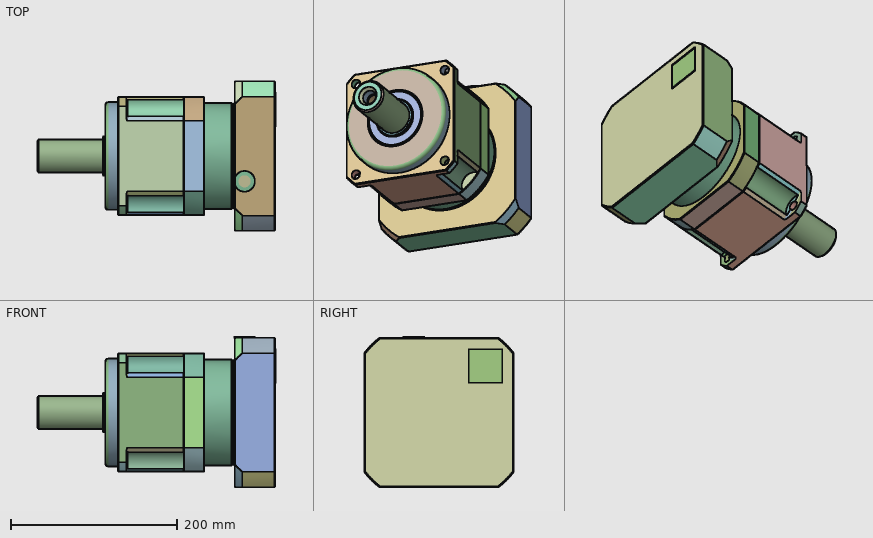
import cadquery as cq
import math


collar_front = 79.0
pilot_front = 81.8
plate_front = 97.0
plate_back = 107.3
ring_end = 176.2
housing_end = 201.0
flange_front = 237.3
flange_back = 286.0
overall_length = 287.0

shaft_diameter = 40.0
shaft_chamfer = 2.0
collar_diameter = 48.0
collar_chamfer = 1.1
countersink_diameter = 23.2
countersink_depth = 5.0
counterbore_diameter = 17.0
counterbore_end = 17.2
thread_diameter = 13.8
thread_end = 36.0
drill_tip_angle = 118

pilot_diameter = 130.0
pilot_fillet = 4.0
seal_diameter = 70.0
seal_groove = 1.1

housing_side = 142.0
plate_corner_diameter = 186.0
body_corner_diameter = 165.5
relief_fillet = 1.7
plate_chamfer = 1.1
seam_chamfer = 0.5
housing_end_chamfer = 1.0

bolt_circle_diameter = 165.0
bolt_hole_diameter = 11.0
channel_diameter = 29.8
channel_circle_diameter = 172.8

neck_diameter = 128.0
neck_groove_depth = 1.0
neck_groove_width = 3.7

flange_side = 180.0
flange_corner_diameter = 230.0
flange_front_corner_diameter = 218.7
flange_corner_cone = 9.5
flange_chamfer = 1.1

pad_side = 40.8
pad_offset = 56.0

plug_diameter = 25.0
plug_top_diameter = 14.5
plug_height = 1.1
plug_rim_height = 1.0
plug_x = 249.5
plug_y = -30.5


def turned(points):
    """Solid of revolution about X from an (x, radius) polyline that starts and ends on the axis."""
    return cq.Workplane("XY").polyline(points).close().revolve(360, (0, 0, 0), (1, 0, 0))


def square_bar(start, end, side, front_chamfer, back_chamfer):
    """Square bar along X with its end edges chamfered."""
    bar = cq.Workplane("YZ", origin=(start, 0, 0)).rect(side, side).extrude(end - start)
    return bar.faces("<X").chamfer(front_chamfer).faces(">X").chamfer(back_chamfer)


def rod(start, end, diameter, y=0.0, z=0.0):
    """Cylinder along X."""
    return cq.Workplane("YZ", origin=(start, y, z)).circle(diameter / 2).extrude(end - start)


def corner_points(circle_diameter):
    """The four (y, z) points of a circle that lie on the diagonals of the square housing."""
    offset = circle_diameter / 2 / math.sqrt(2)
    return [(y_sign * offset, z_sign * offset) for y_sign in (-1, 1) for z_sign in (-1, 1)]


def make_shaft():
    """Shaft end and collar, with the stepped centre hole cut in."""
    shaft_radius = shaft_diameter / 2
    collar_radius = collar_diameter / 2
    thread_radius = thread_diameter / 2
    counterbore_radius = counterbore_diameter / 2
    drill_tip = thread_radius / math.tan(math.radians(drill_tip_angle / 2))
    shaft = turned([
        (0, 0),
        (0, shaft_radius - shaft_chamfer),
        (shaft_chamfer, shaft_radius),
        (collar_front, shaft_radius),
        (collar_front, collar_radius - collar_chamfer),
        (collar_front + collar_chamfer, collar_radius),
        (plate_front, collar_radius),
        (plate_front, 0),
    ])
    centre_hole = turned([
        (0, 0),
        (0, countersink_diameter / 2),
        (countersink_depth, counterbore_radius),
        (counterbore_end, counterbore_radius),
        (counterbore_end, thread_radius),
        (thread_end, thread_radius),
        (thread_end + drill_tip, 0),
    ])
    return shaft.cut(centre_hole)


def make_pilot():
    """Round pilot with a filleted rim and a V groove around the seal face."""
    pilot = rod(pilot_front, plate_front, pilot_diameter).faces("<X").edges().fillet(pilot_fillet)
    seal_radius = seal_diameter / 2
    groove = (
        cq.Workplane("XY")
        .polyline([
            (pilot_front, seal_radius - seal_groove),
            (pilot_front, seal_radius + seal_groove),
            (pilot_front + seal_groove, seal_radius),
        ])
        .close()
        .revolve(360, (0, 0, 0), (1, 0, 0))
    )
    return pilot.cut(groove)


def make_front_housing():
    """Square bar whose corners are turned down behind the mounting plate."""
    plate_radius = plate_corner_diameter / 2
    body_radius = body_corner_diameter / 2
    corner_envelope = (
        cq.Workplane("XY")
        .moveTo(plate_front, 0)
        .lineTo(plate_front, plate_radius - plate_chamfer)
        .lineTo(plate_front + plate_chamfer, plate_radius)
        .lineTo(plate_back, plate_radius)
        .lineTo(plate_back, body_radius + relief_fillet)
        .radiusArc((plate_back + relief_fillet, body_radius), -relief_fillet)
        .lineTo(ring_end - seam_chamfer, body_radius)
        .lineTo(ring_end, body_radius - seam_chamfer)
        .lineTo(ring_end, 0)
        .close()
        .revolve(360, (0, 0, 0), (1, 0, 0))
    )
    housing = square_bar(plate_front, ring_end, housing_side, plate_chamfer, seam_chamfer)
    housing = housing.intersect(corner_envelope)
    channel_start = plate_back + relief_fillet
    for y, z in corner_points(bolt_circle_diameter):
        housing = housing.cut(rod(plate_front, channel_start, bolt_hole_diameter, y, z))
    for y, z in corner_points(channel_circle_diameter):
        housing = housing.cut(rod(channel_start, ring_end, channel_diameter, y, z))
    return housing


def make_rear_housing():
    """Square bar with turned corners behind the seam."""
    corner_envelope = (
        rod(ring_end, housing_end, body_corner_diameter)
        .faces("<X").chamfer(seam_chamfer)
        .faces(">X").chamfer(housing_end_chamfer)
    )
    bar = square_bar(ring_end, housing_end, housing_side, seam_chamfer, housing_end_chamfer)
    return bar.intersect(corner_envelope)


def make_neck():
    """Round neck with a shallow groove just ahead of the motor flange."""
    radius = neck_diameter / 2
    groove_start = flange_front - neck_groove_width
    groove_radius = radius - neck_groove_depth
    return turned([
        (housing_end, 0),
        (housing_end, radius),
        (groove_start, radius),
        (groove_start + neck_groove_depth, groove_radius),
        (flange_front - neck_groove_depth, groove_radius),
        (flange_front, radius),
        (flange_front, 0),
    ])


def make_motor_flange():
    """Square flange with turned corners, coned at the front, and a raised pad on its back."""
    radius = flange_corner_diameter / 2
    corner_envelope = turned([
        (flange_front, 0),
        (flange_front, flange_front_corner_diameter / 2),
        (flange_front + flange_corner_cone, radius),
        (flange_back - flange_chamfer, radius),
        (flange_back, radius - flange_chamfer),
        (flange_back, 0),
    ])
    flange = square_bar(flange_front, flange_back, flange_side, flange_chamfer, flange_chamfer)
    pad = (
        cq.Workplane("YZ", origin=(flange_back, pad_offset, pad_offset))
        .rect(pad_side, pad_side)
        .extrude(overall_length - flange_back)
    )
    return flange.intersect(corner_envelope).union(pad)


def make_plug():
    """Flat cap on top of the motor flange, with a slightly conical margin around a level centre."""
    rim_radius = plug_diameter / 2
    top_radius = plug_top_diameter / 2
    profile = [
        (0, 0),
        (rim_radius, 0),
        (rim_radius, plug_rim_height),
        (top_radius, plug_height),
        (0, plug_height),
    ]
    cap = cq.Workplane("XZ").polyline(profile).close().revolve(360, (0, 0, 0), (0, 1, 0))
    return cap.translate((plug_x, plug_y, flange_side / 2))


gearbox = (
    make_pilot()
    .union(make_shaft())
    .union(make_front_housing())
    .union(make_rear_housing())
    .union(make_neck())
    .union(make_motor_flange())
)
plug = make_plug()

result = cq.Compound.makeCompound([gearbox.val(), plug.val()])